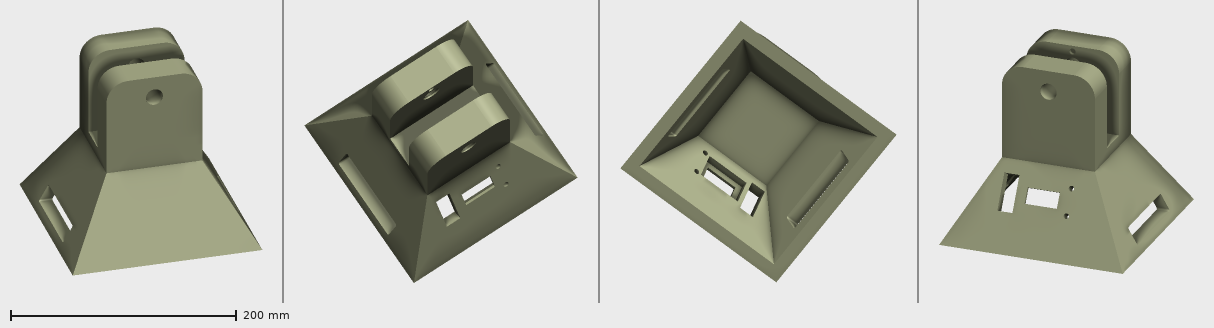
import cadquery as cq
import math

base_side = 175.0
clevis_side = 88.5
base_height = 74.4
wall = 10.5
slope = math.atan2((base_side - clevis_side) / 2, base_height)
wall_across = wall / math.cos(slope)

total_height = 165.0
gap_width = 30.1
gap_floor = 85.0
corner_radius = 20.0
pin_height = total_height - corner_radius
pin_diameter = 15.5
pin_seat_diameter = 17.2
pin_seat_depth = 1.8
dimple_diameter = 6.0
dimple_depth = 3.2
dimple_offset = 14.4

strap_width = 80.0
strap_height = 15.5
strap_bottom = 7.5
strap_radius = 1.8

panel_height = 48.0
cut_depth = wall + 0.9
switch_width = 14.4
switch_length = 34.5
switch_y = 32.2
window_width = 30.8
window_height = 14.7
window_lip = 2.8
window_pocket_margin = 5.2
lamp_diameter = 5.0
lamp_spacing = 25.0
lamp_y = -25.4


def frustum(bottom_side, height):
    """Square frustum standing on Z = 0 with the base's wall slope."""
    top_side = bottom_side - 2 * height * math.tan(slope)
    lower = cq.Workplane("XY").rect(bottom_side, bottom_side)
    return lower.workplane(offset=height).rect(top_side, top_side).loft(combine=True)


def base():
    """Hollow frustum, open underneath, with an even wall."""
    cavity = frustum(base_side - 2 * wall_across, base_height - wall)
    return frustum(base_side, base_height).cut(cavity)


def clevis():
    """Two arms rounded at the top, parted by a gap along Y."""
    height = total_height - base_height
    block = cq.Workplane("XY", origin=(0, 0, base_height)).box(
        clevis_side, clevis_side, height, centered=(True, True, False))
    block = block.edges("|X and >Z").fillet(corner_radius)
    gap = cq.Workplane("XY", origin=(0, 0, gap_floor)).box(
        gap_width, clevis_side, total_height, centered=(True, True, False))
    return block.cut(gap)


def bore(x_start, z, diameter, depth):
    """Round cutter along +X."""
    return cq.Workplane("YZ", origin=(x_start, 0, z)).circle(diameter / 2).extrude(depth)


def strap_slots():
    """Cutter along Y for the slots in both the front and back walls."""
    middle = strap_bottom + strap_height / 2
    cutter = cq.Workplane("XY", origin=(0, 0, middle)).box(strap_width, base_side, strap_height)
    return cutter.edges("|Y").fillet(strap_radius)


def panel_plane(depth=0.0):
    """Workplane on the -X wall: local x runs along -Y, local y up the slope, normal outward."""
    face_x = -base_side / 2 + panel_height * math.tan(slope)
    normal = cq.Vector(-math.cos(slope), 0, math.sin(slope))
    origin = cq.Vector(face_x, 0, panel_height) - normal * depth
    return cq.Workplane(cq.Plane(origin=origin, xDir=(0, -1, 0), normal=normal))


def panel_cutouts():
    """Switch opening, window with a wider pocket behind its lip, and two lamp holes."""
    switch = panel_plane().center(-switch_y, 0).rect(switch_width, switch_length).extrude(-cut_depth)
    window = panel_plane().rect(window_width, window_height).extrude(-cut_depth)
    pocket = panel_plane(window_lip).rect(
        window_width + 2 * window_pocket_margin,
        window_height + 2 * window_pocket_margin).extrude(window_lip - cut_depth)
    lamps = panel_plane().center(-lamp_y, 0).rarray(1.8, lamp_spacing, 1, 2).circle(
        lamp_diameter / 2).extrude(-cut_depth)
    return switch.union(window).union(pocket).union(lamps)


result = base().union(clevis())
result = result.cut(bore(-base_side / 2, pin_height, pin_diameter, base_side))
result = result.cut(bore(gap_width / 2, pin_height, pin_seat_diameter, pin_seat_depth))
result = result.cut(bore(gap_width / 2, pin_height + dimple_offset, dimple_diameter, dimple_depth))
result = result.cut(strap_slots())
result = result.cut(panel_cutouts())